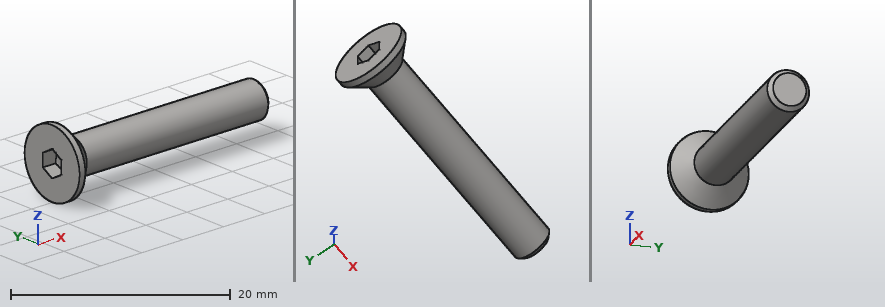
import cadquery as cq
import math

total_length = 25.0
head_diameter = 7.52
shank_diameter = 4.0

rim_thickness = 0.7
cone_length = (head_diameter - shank_diameter) / 2

tip_chamfer = 0.42

socket_across_flats = 2.5
socket_depth = 1.62
socket_floor_diameter = 2.25
socket_floor_rounding = 0.55
socket_across_corners = socket_across_flats / math.cos(math.pi / 6)


def make_body():
    """Revolve the half profile of head, shank and tip about the X axis."""
    head_radius = head_diameter / 2
    shank_radius = shank_diameter / 2
    profile = [
        (0, 0),
        (0, head_radius),
        (rim_thickness, head_radius),
        (rim_thickness + cone_length, shank_radius),
        (total_length - tip_chamfer, shank_radius),
        (total_length, shank_radius - tip_chamfer),
        (total_length, 0),
    ]
    return cq.Workplane("XY").polyline(profile).close().revolve(360, (0, 0, 0), (1, 0, 0))


def make_socket():
    """Hexagonal prism whose inner corners curve into a flat round floor."""
    prism = (
        cq.Workplane("YZ")
        .transformed(rotate=(0, 0, 90))
        .polygon(6, socket_across_corners)
        .extrude(socket_depth)
    )
    rounded_pin = (
        cq.Workplane("YZ")
        .circle(socket_floor_diameter / 2 + socket_floor_rounding)
        .extrude(socket_depth)
        .faces(">X")
        .edges()
        .fillet(socket_floor_rounding)
    )
    return prism.intersect(rounded_pin)


result = make_body().cut(make_socket())